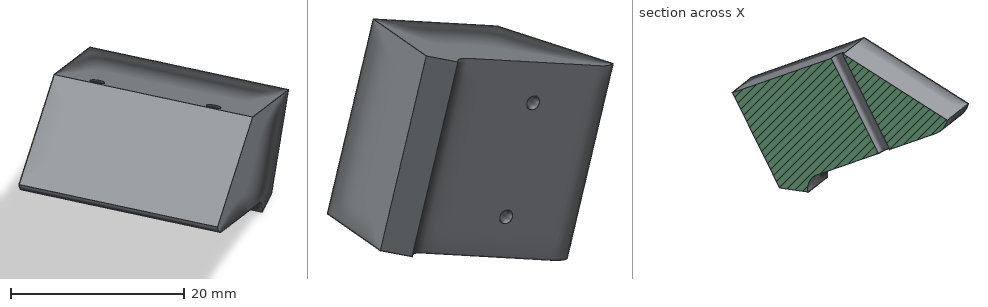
import cadquery as cq

width = 23.93
back_length = 16.93
depth = 12.47
nose_along = 26.2
nose_depth = 11.4
nose_arc_start = 23.67
lip_along = 3.45
lip_height = 1.57
lip_arc_end = 5.52
lip_mid_along = 4.1
lip_mid_drop = 0.63

hole_diameter = 1.7
hole_spacing = 14.0
hole_along = 15.92

slope_angle = 30.0
pitch_angle = 0.8
yaw_angle = 0.5


def make_block():
    """Prism along X: -Y runs along the slope, -Z runs into the depth."""
    return (
        cq.Workplane(cq.Plane(origin=(-width / 2, 0, 0), xDir=(0, -1, 0), normal=(1, 0, 0)))
        .moveTo(lip_along, depth + lip_height)
        .threePointArc((lip_mid_along, depth + lip_mid_drop), (lip_arc_end, depth))
        .lineTo(nose_arc_start, depth)
        .tangentArcPoint((nose_along, nose_depth), relative=False)
        .lineTo(back_length, 0)
        .lineTo(0, 0)
        .lineTo(0, depth)
        .close()
        .extrude(width)
    )


def make_holes():
    """Two through holes square to the upper back face."""
    return (
        cq.Workplane("XY")
        .pushPoints([(side * hole_spacing / 2, -hole_along) for side in (-1, 1)])
        .circle(hole_diameter / 2)
        .extrude(-depth - lip_height)
    )


block = make_block().cut(make_holes())
tilted = (
    block.rotate((0, 0, 0), (1, 0, 0), -slope_angle)
    .rotate((0, 0, 0), (0, 1, 0), pitch_angle)
    .rotate((0, 0, 0), (0, 0, 1), yaw_angle)
)

result = tilted.translate(tilted.val().BoundingBox().center.multiply(-1))